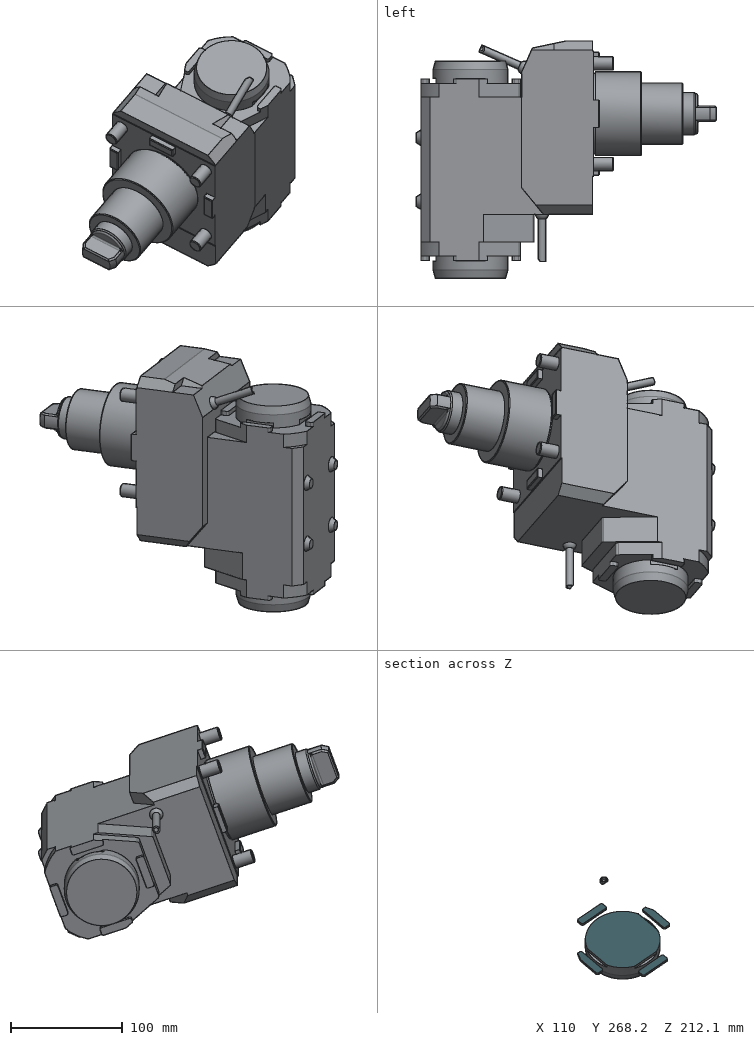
import cadquery as cq
import math


BLOCK_WIDTH = 110.0
BLOCK_TOP = 65.1
BLOCK_BOTTOM = -89.8
BLOCK_CHAMFER = 8.3
BLOCK_BACK = 64.3
TOP_FLAT_BACK = 24.0
TOP_SLOPE_BACK = 54.7
TOP_SLOPE_END = 58.7
BACK_SLOPE_FOOT = 36.7
BOTTOM_SLOPE_TOP = -66.0
BOTTOM_SLOPE_FRONT = 44.8
NOTCH_FRONT = 35.5
NOTCH_HALF_GAP = 34.9

PAD_HEIGHT = 112.0
PAD_THICKNESS = 0.8
KEY_LENGTH = 25.0
KEY_WIDTH = 9.0
KEY_HEIGHT = 5.0
KEY_CENTRE = BLOCK_WIDTH / 2 - KEY_WIDTH / 2
KEY_CHAMFER = 0.8
BOLT_SPACING = 89.8
BOLT_DIAMETER = 12.0
BOLT_LENGTH = 17.7
BOLT_CHAMFER = 0.8

SHANK_DIAMETER = 75.0
SHANK_LENGTH = 43.0
GROOVE_DIAMETER = 72.5
GROOVE_WIDTH = 1.5
NOSE_DIAMETER = 55.0
NOSE_END = 80.0
SHANK_CHAMFER = 0.8

SHAFT_DIAMETER = 38.0
COLLAR_END = 89.8
SHOULDER_START = 91.2
SHOULDER_END = 93.0
SHOULDER_FILLET = 1.5
TANG_DIAMETER = 36.0
TANG_END = 109.7
TANG_THICKNESS = 14.0
TANG_ROOT_FILLET = 1.5
TANG_EDGE_CHAMFER = 1.3
TANG_RELIEF_LENGTH = 5.5
TANG_RELIEF_DEPTH = 3.2

HOUSING_WIDTH = 88.0
HOUSING_BACK = 154.2
HOUSING_FRONT = 26.8
HOUSING_CHAMFER = 8.0
MIDDLE_TOP = 14.7
TAPER_RATIO = 0.44
LOWER_FRONT = 53.0
LOWER_SHOULDER = 98.0
LOWER_FILLET = 1.5

SPINDLE_Y = 110.0
CAP_TOP = 27.0
CAP_FRONT = 65.1
CAP_SHOULDER = 102.5
CAP_DIAMETER = 104.5
CAP_FILLET = 2.7
LUG_LENGTH = 30.0
LUG_DEPTH = 7.5
LUG_HEIGHT = 4.0
LUG_FILLET = 2.0
NUT_DIAMETER = 67.0
NUT_TOP_DIAMETER = 62.7
NUT_TOP = 47.0
NUT_BOTTOM = -147.0
MIDDLE_Z = (NUT_TOP + NUT_BOTTOM) / 2
NUT_TAPER_HEIGHT = 7.5
NUT_FLAT_OFFSET = 30.8
NUT_FLAT_TOP = 31.6

SCREW_SPACING = 57.0
SCREW_DIAMETER = 14.0
SCREW_TOP_DIAMETER = 8.5
SCREW_HEIGHT = 4.3

TUBE_DIAMETER = 7.0
TUBE_BORE = 4.0
TUBE_LENGTH = 42.4
TOP_CUT_WIDTH = 3.8
TOP_CUT_LENGTH = 4.0
BOTTOM_CUT_WIDTH = 2.0
BOTTOM_CUT_LENGTH = 2.7
BALL_DIAMETER = 12.0
BALL_DEPTH = 0.8
TOP_NOZZLE_X = 25.7
TOP_NOZZLE_Z = 41.3
BOTTOM_NOZZLE_X = -34.9
BOTTOM_NOZZLE_Y = 46.0

SIDES = (-1, 1)


def box(x_range, y_range, z_range):
    """Box between the given limits on each axis."""
    size = [high - low for low, high in (x_range, y_range, z_range)]
    corner = (x_range[0], y_range[0], z_range[0])
    return cq.Workplane("XY").box(*size, centered=False).translate(corner)


def forward_cylinder(diameter, start, end):
    """Cylinder on the shaft axis between two distances in front of the mounting face."""
    return cq.Workplane("XZ").workplane(offset=start).circle(diameter / 2).extrude(end - start)



def mounting_block():
    half_width = BLOCK_WIDTH / 2
    side_profile = [
        (PAD_THICKNESS, BLOCK_TOP),
        (TOP_FLAT_BACK, BLOCK_TOP),
        (TOP_SLOPE_BACK, TOP_SLOPE_END),
        (BLOCK_BACK, BACK_SLOPE_FOOT),
        (BLOCK_BACK, BOTTOM_SLOPE_TOP),
        (BOTTOM_SLOPE_FRONT, BLOCK_BOTTOM),
        (PAD_THICKNESS, BLOCK_BOTTOM),
    ]
    side_shape = cq.Workplane("YZ").polyline(side_profile).close().extrude(half_width, both=True)
    front_shape = box(
        (-half_width, half_width), (PAD_THICKNESS, BLOCK_BACK), (BLOCK_BOTTOM, BLOCK_TOP)
    ).edges("|Y").chamfer(BLOCK_CHAMFER)
    block = side_shape.intersect(front_shape)
    for side in SIDES:
        block = block.cut(corner_notch(side))
    pad = box(
        (-half_width, half_width), (0, PAD_THICKNESS), (-PAD_HEIGHT / 2, PAD_HEIGHT / 2)
    )
    return block.union(pad)


def corner_notch(side):
    """Step at a rear top corner of the block, with a 45 degree inner wall."""
    floor = BLOCK_TOP - BLOCK_CHAMFER
    half_width = BLOCK_WIDTH / 2
    section = [
        (side * NOTCH_HALF_GAP, floor),
        (side * half_width, floor),
        (side * half_width, BLOCK_TOP),
        (side * (NOTCH_HALF_GAP - BLOCK_CHAMFER), BLOCK_TOP),
    ]
    start = cq.Workplane("XZ").workplane(offset=-BLOCK_BACK)
    return start.polyline(section).close().extrude(BLOCK_BACK - NOTCH_FRONT)


def face_keys():
    """Four keys around the shank on the mounting face."""
    key = cq.Workplane("XZ").center(0, KEY_CENTRE).rect(KEY_LENGTH, KEY_WIDTH).extrude(KEY_HEIGHT)
    key = key.faces("<Y").chamfer(KEY_CHAMFER)
    keys = cq.Workplane("XY")
    for quarter in range(4):
        keys = keys.add(key.rotate((0, 0, 0), (0, 1, 0), 90 * quarter))
    return keys


def mounting_bolts():
    return (
        cq.Workplane("XZ").rect(BOLT_SPACING, BOLT_SPACING, forConstruction=True).vertices()
        .circle(BOLT_DIAMETER / 2).extrude(BOLT_LENGTH)
        .faces("<Y").chamfer(BOLT_CHAMFER)
    )


def shank():
    groove = forward_cylinder(GROOVE_DIAMETER, 0, GROOVE_WIDTH)
    main = forward_cylinder(SHANK_DIAMETER, GROOVE_WIDTH, SHANK_LENGTH)
    nose = forward_cylinder(NOSE_DIAMETER, SHANK_LENGTH, NOSE_END)
    main = main.faces("<Y").chamfer(SHANK_CHAMFER)
    nose = nose.faces("<Y").chamfer(SHANK_CHAMFER)
    return groove.union(main).union(nose)



def tapered_plate(front, shoulder, front_fillet, bottom, top):
    """Horizontal plate with a straight back that narrows towards its front."""
    half_width = HOUSING_WIDTH / 2
    half_front = half_width - TAPER_RATIO * (shoulder - front)
    outline = [
        (-half_front, front),
        (half_front, front),
        (half_width, shoulder),
        (half_width, HOUSING_BACK),
        (-half_width, HOUSING_BACK),
        (-half_width, shoulder),
    ]
    plate = cq.Workplane("XY").workplane(offset=bottom).polyline(outline).close().extrude(top - bottom)
    return plate.edges("|Z and <Y").fillet(front_fillet)


def housing_middle():
    half_width = HOUSING_WIDTH / 2
    middle_bottom = 2 * MIDDLE_Z - MIDDLE_TOP
    upper = box(
        (-half_width, half_width), (HOUSING_FRONT, HOUSING_BACK), (BLOCK_BOTTOM, MIDDLE_TOP)
    )
    lower = tapered_plate(LOWER_FRONT, LOWER_SHOULDER, LOWER_FILLET, middle_bottom, BLOCK_BOTTOM)
    return upper.union(lower).edges("|Z and >Y").chamfer(HOUSING_CHAMFER)


def cap_plate(bottom, top):
    """Tapered plate with its back corners rounded about the spindle axis."""
    disc = cq.Workplane("XY").workplane(offset=bottom).center(0, SPINDLE_Y)
    disc = disc.circle(CAP_DIAMETER / 2).extrude(top - bottom)
    return tapered_plate(CAP_FRONT, CAP_SHOULDER, CAP_FILLET, bottom, top).intersect(disc)


def lugs():
    """Four raised lugs along the cap edges, trimmed to the cap outline."""
    inset = LUG_DEPTH / 2
    side_x = HOUSING_WIDTH / 2 - inset
    places = [
        (side_x, SPINDLE_Y, LUG_DEPTH, LUG_LENGTH),
        (-side_x, SPINDLE_Y, LUG_DEPTH, LUG_LENGTH),
        (0, HOUSING_BACK - inset, LUG_LENGTH, LUG_DEPTH),
        (0, CAP_FRONT + inset, LUG_LENGTH, LUG_DEPTH),
    ]
    outline = cap_plate(CAP_TOP, CAP_TOP + LUG_HEIGHT)
    blanks = cq.Workplane("XY")
    for x, y, x_size, y_size in places:
        blank = cq.Workplane("XY").workplane(offset=CAP_TOP).center(x, y).rect(x_size, y_size)
        blanks = blanks.add(blank.extrude(LUG_HEIGHT).edges("|Z").fillet(LUG_FILLET))
    return blanks.combine().intersect(outline)


def spindle_nut():
    """Round nut with a tapered rim and three flats at its foot."""
    radius = NUT_DIAMETER / 2
    taper_start = NUT_TOP - NUT_TAPER_HEIGHT
    profile = [
        (0, CAP_TOP),
        (radius, CAP_TOP),
        (radius, taper_start),
        (NUT_TOP_DIAMETER / 2, NUT_TOP),
        (0, NUT_TOP),
    ]
    nut = cq.Workplane("XZ").polyline(profile).close().revolve(360, (0, 0, 0), (0, 1, 0))
    flat = box((NUT_FLAT_OFFSET, radius), (-radius, radius), (CAP_TOP, NUT_FLAT_TOP))
    for angle in (0, 90, 180):
        nut = nut.cut(flat.rotate((0, 0, 0), (0, 0, 1), angle))
    return nut.translate((0, SPINDLE_Y, 0))


def spindle_end():
    return cap_plate(MIDDLE_TOP, CAP_TOP).union(lugs()).union(spindle_nut())


def back_screws():
    """Four low conical screw heads on the back of the housing."""
    offset = SCREW_SPACING / 2
    backward = cq.Vector(0, 1, 0)
    heads = cq.Workplane("XY")
    for x in (-offset, offset):
        for z in (MIDDLE_Z - offset, MIDDLE_Z + offset):
            base = cq.Vector(x, HOUSING_BACK, z)
            head = cq.Solid.makeCone(
                SCREW_DIAMETER / 2, SCREW_TOP_DIAMETER / 2, SCREW_HEIGHT, base, backward
            )
            heads = heads.add(head)
    return heads



def nozzle(cut_width, cut_length):
    """Bored tube on a half-sunk ball, pointing along +Z, with a slanted cut at -X on its tip."""
    radius = TUBE_DIAMETER / 2
    ball = cq.Workplane("XY").sphere(BALL_DIAMETER / 2).translate((0, 0, -BALL_DEPTH))
    tube = cq.Workplane("XY").circle(radius).extrude(TUBE_LENGTH)
    bore = cq.Workplane("XY").workplane(offset=BALL_DIAMETER / 2)
    bore = bore.circle(TUBE_BORE / 2).extrude(TUBE_LENGTH)
    tip_cut = [
        (-radius, TUBE_LENGTH - cut_length),
        (-radius, TUBE_LENGTH),
        (-radius + cut_width, TUBE_LENGTH),
    ]
    slant = cq.Workplane("XZ").polyline(tip_cut).close().extrude(radius, both=True)
    return ball.union(tube).cut(bore).cut(slant)


def top_nozzle():
    """Nozzle square to the rear slope of the block."""
    slope_run = BLOCK_BACK - TOP_SLOPE_BACK
    slope_rise = TOP_SLOPE_END - BACK_SLOPE_FOOT
    tilt = math.degrees(math.atan2(slope_rise, slope_run))
    base_y = BLOCK_BACK - (TOP_NOZZLE_Z - BACK_SLOPE_FOOT) * slope_run / slope_rise
    tilted = nozzle(TOP_CUT_WIDTH, TOP_CUT_LENGTH).rotate((0, 0, 0), (1, 0, 0), -tilt)
    return tilted.translate((TOP_NOZZLE_X, base_y, TOP_NOZZLE_Z))


def bottom_nozzle():
    """Nozzle pointing straight down from the underside, with its tip cut towards +Y."""
    upright = nozzle(BOTTOM_CUT_WIDTH, BOTTOM_CUT_LENGTH)
    down = upright.rotate((0, 0, 0), (1, 0, 0), 180).rotate((0, 0, 0), (0, 0, 1), -90)
    return down.translate((BOTTOM_NOZZLE_X, BOTTOM_NOZZLE_Y, BLOCK_BOTTOM))



def holder_body():
    upper_end = spindle_end()
    lower_end = upper_end.mirror("XY", (0, 0, MIDDLE_Z))
    body = mounting_block().union(housing_middle()).union(upper_end).union(lower_end)
    for feature in (face_keys(), mounting_bolts(), shank(), back_screws(), top_nozzle(), bottom_nozzle()):
        for piece in feature.vals():
            body = body.union(cq.Workplane(piece))
    return body


def tang():
    """Flat drive tang with round sides and a conical relief at its tip."""
    radius = TANG_DIAMETER / 2
    relief_start = TANG_END - TANG_RELIEF_LENGTH
    half_profile = [
        (0, -COLLAR_END),
        (radius, -COLLAR_END),
        (radius, -relief_start),
        (radius - TANG_RELIEF_DEPTH, -TANG_END),
        (0, -TANG_END),
    ]
    blade = cq.Workplane("XY").polyline(half_profile).close().revolve(360, (0, 0, 0), (0, 1, 0))
    half_thickness = TANG_THICKNESS / 2
    slab = box(
        (-radius, radius), (-TANG_END, -COLLAR_END), (-half_thickness, half_thickness)
    )
    return blade.intersect(slab).faces("<Z or >Z").edges("not >Y").chamfer(TANG_EDGE_CHAMFER)


def tang_root_fillet(side):
    """Concave fillet between the shoulder face and one flat of the tang."""
    half_length = TANG_DIAMETER / 2 - SHOULDER_FILLET
    flat = side * TANG_THICKNESS / 2
    size = TANG_ROOT_FILLET
    strip = box((-half_length, half_length), (-SHOULDER_END - size, -SHOULDER_END), (0, size))
    hollow = cq.Workplane("YZ").center(-SHOULDER_END - size, size).circle(size)
    strip = strip.cut(hollow.extrude(half_length, both=True))
    if side < 0:
        strip = strip.mirror("XY")
    return strip.translate((0, 0, flat))


def drive_shaft():
    collar_radius = SHAFT_DIAMETER / 2
    shoulder_radius = TANG_DIAMETER / 2
    half_profile = [
        (0, -NOSE_END),
        (collar_radius, -NOSE_END),
        (collar_radius, -COLLAR_END),
        (shoulder_radius, -SHOULDER_START),
        (shoulder_radius, -SHOULDER_END),
        (0, -SHOULDER_END),
    ]
    shaft = cq.Workplane("XY").polyline(half_profile).close().revolve(360, (0, 0, 0), (0, 1, 0))
    shaft = shaft.faces("<Y").edges().fillet(SHOULDER_FILLET).union(tang())
    for side in SIDES:
        shaft = shaft.union(tang_root_fillet(side))
    return shaft


holder = holder_body()
shaft = drive_shaft()
result = cq.Compound.makeCompound([holder.val(), shaft.val()])